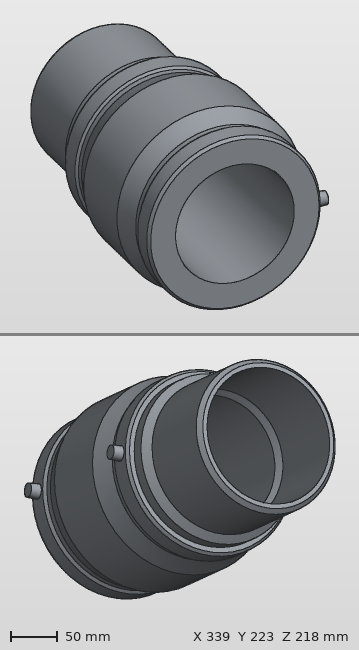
import cadquery as cq

LENGTH = 339.0

SPIGOT_R = 170.0 / 2
SPIGOT_TIP_R = 160.0 / 2
TIP_CHAMFER_LENGTH = 5.8
SPIGOT_END_X = 103.0

COLLAR_R = 187.0 / 2
COLLAR_START_X = 112.0

BAND_R = 204.8 / 2
BAND_WIDTH = 30.2
BAND_CHAMFER = 3.7
FRONT_BAND_REAR_CHAMFER = 2.5
FRONT_BAND_X = 126.8
REAR_BAND_X = LENGTH - BAND_WIDTH

NECK_R = 198.5 / 2
BODY_R = 218.0 / 2
FRONT_NECK_END_X = 164.8
BODY_START_X = 191.0
BODY_END_X = 274.5
REAR_NECK_START_X = 301.0

ENTRY_BORE_R = 150.0 / 2
BORE_R = 140.0 / 2
BORE_CONE_START_X = SPIGOT_END_X
BORE_CONE_END_X = COLLAR_START_X

PIN_BASE_R = 8.5
PIN_TOP_R = 7.8
PIN_TOP_Y = 223.0 - BODY_R
PIN_BASE_Y = BAND_R - 0.7


def band_profile(start_x, rear_chamfer):
    """Outline points (x, radius) of a band chamfered down to the neck radius."""
    end_x = start_x + BAND_WIDTH
    return [
        (start_x, NECK_R),
        (start_x + BAND_CHAMFER, BAND_R),
        (end_x - rear_chamfer, BAND_R),
        (end_x, NECK_R),
    ]


def make_body():
    """Revolve the hollow wall section about the X axis."""
    outside = [
        (0, SPIGOT_TIP_R),
        (TIP_CHAMFER_LENGTH, SPIGOT_R),
        (SPIGOT_END_X, SPIGOT_R),
        (COLLAR_START_X, COLLAR_R),
        (FRONT_BAND_X, COLLAR_R),
        *band_profile(FRONT_BAND_X, FRONT_BAND_REAR_CHAMFER),
        (FRONT_NECK_END_X, NECK_R),
        (BODY_START_X, BODY_R),
        (BODY_END_X, BODY_R),
        (REAR_NECK_START_X, NECK_R),
        *band_profile(REAR_BAND_X, BAND_CHAMFER),
    ]
    bore = [
        (LENGTH, BORE_R),
        (BORE_CONE_END_X, BORE_R),
        (BORE_CONE_START_X, ENTRY_BORE_R),
        (0, ENTRY_BORE_R),
    ]
    section = cq.Workplane("XY").polyline(outside + bore).close()
    return section.revolve(360, (0, 0, 0), (1, 0, 0))


def make_pin(center_x):
    """Tapered pin standing on a band."""
    height = PIN_TOP_Y - PIN_BASE_Y
    base = cq.Vector(center_x, PIN_BASE_Y, 0)
    return cq.Solid.makeCone(PIN_BASE_R, PIN_TOP_R, height, base, cq.Vector(0, 1, 0))


result = make_body()
for band_x in (FRONT_BAND_X, REAR_BAND_X):
    result = result.union(make_pin(band_x + BAND_WIDTH / 2))